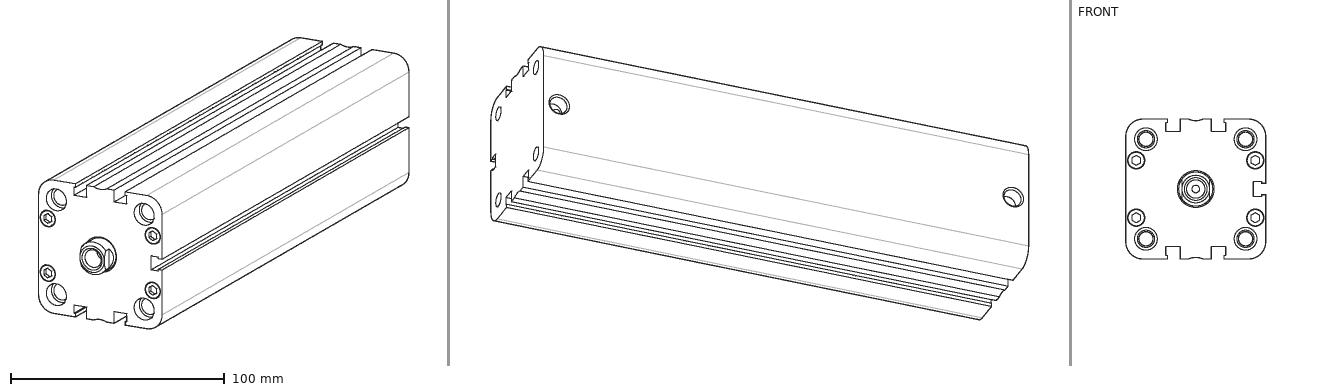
import cadquery as cq
import math

TOTAL_LENGTH = 253.0
ROD_PROJECTION = 8.0
BODY_SIDE = 65.5
CORNER_RADIUS = 8.0
BODY_LENGTH = TOTAL_LENGTH - ROD_PROJECTION
ROD_END_Y = -TOTAL_LENGTH / 2
FRONT_Y = ROD_END_Y + ROD_PROJECTION
BACK_Y = FRONT_Y + BODY_LENGTH
HALF_SIDE = BODY_SIDE / 2

SLOT_INNER_X = 7.3
SLOT_MOUTH_WIDTH = 5.8
SLOT_FLOOR_WIDTH = 6.5
SLOT_DEPTH = 5.8
SLOT_LIP = 1.8

SIDE_SLOT_MOUTH_WIDTH = 5.3
SIDE_SLOT_FLOOR_WIDTH = 6.8
SIDE_SLOT_DEPTH = 5.8
SIDE_SLOT_LIP = 2.0

GROOVE_RADIUS = 8.0
GROOVE_DEPTH = 0.8

MOUNT_OFFSET = 23.3
MOUNT_RECESS_DIAMETER = 10.5
MOUNT_RECESS_DEPTH = 5.0
MOUNT_BORE_DIAMETER = 8.0
MOUNT_BORE_DEPTH = 15.2
MOUNT_THROUGH_DIAMETER = 6.5

SCREW_X = 27.8
SCREW_Z = 13.5
SCREW_RECESS_DIAMETER = 8.0
SCREW_HEAD_DIAMETER = 7.5
SCREW_RING_DEPTH = 2.5
SCREW_SOCKET_FLATS = 4.0
SCREW_SOCKET_DEPTH = 2.0

PORT_END_DISTANCE = 7.8
PORT_DIAMETER = 8.5
PORT_CHAMFER_DIAMETER = 10.4
PORT_DEPTH = 7.5
PASSAGE_DIAMETER = 3.5
PASSAGE_OFFSET = 1.8
PASSAGE_DEPTH = 2.5

ROD_DIAMETER = 16.0
ROD_INSERTION = 14.5
ROD_CHAMFER = 1.5
ROD_MOUTH_DIAMETER = 17.2
ROD_MOUTH_CHAMFER = (ROD_MOUTH_DIAMETER - ROD_DIAMETER) / 2
ROD_FLATS = 13.0
FLAT_START = 3.3
THREAD_DIAMETER = 8.5
THREAD_CHAMFER_DIAMETER = 10.5
THREAD_DEPTH = 12.6
THREAD_TIP_DIAMETER = 3.5
THREAD_TIP_DEPTH = 1.5


ALONG_X = cq.Vector(1, 0, 0)
ALONG_Y = cq.Vector(0, 1, 0)


def cylinder_along_x(diameter, start_x, y, length):
    start = cq.Vector(start_x, y, 0)
    return cq.Workplane(cq.Solid.makeCylinder(diameter / 2, length, start, ALONG_X))


def cylinder_along_y(diameter, start_y, length, x=0, z=0):
    start = cq.Vector(x, start_y, z)
    return cq.Workplane(cq.Solid.makeCylinder(diameter / 2, length, start, ALONG_Y))


def cone_along_x(start_diameter, end_diameter, start_x, y, length):
    start = cq.Vector(start_x, y, 0)
    return cq.Workplane(cq.Solid.makeCone(start_diameter / 2, end_diameter / 2, length, start, ALONG_X))


def cone_along_y(start_diameter, end_diameter, start_y, length):
    start = cq.Vector(0, start_y, 0)
    return cq.Workplane(cq.Solid.makeCone(start_diameter / 2, end_diameter / 2, length, start, ALONG_Y))


def extrude_along_body(points):
    """Extrude an (x, z) outline over the whole length of the body."""
    return cq.Workplane("XZ", origin=(0, BACK_Y, 0)).polyline(points).close().extrude(BODY_LENGTH)


def body_blank():
    return (
        cq.Workplane("XY")
        .box(BODY_SIDE, BODY_LENGTH, BODY_SIDE)
        .translate((0, (FRONT_Y + BACK_Y) / 2, 0))
        .edges("|Y")
        .fillet(CORNER_RADIUS)
    )


def undercut_slot():
    """Slot at the top, on the +X side of the middle."""
    mouth_x = SLOT_INNER_X + SLOT_MOUTH_WIDTH
    floor_x = SLOT_INNER_X + SLOT_FLOOR_WIDTH
    lip_z = HALF_SIDE - SLOT_LIP
    floor_z = HALF_SIDE - SLOT_DEPTH
    return extrude_along_body([
        (SLOT_INNER_X, HALF_SIDE),
        (mouth_x, HALF_SIDE),
        (mouth_x, lip_z),
        (floor_x, lip_z),
        (floor_x, floor_z),
        (SLOT_INNER_X, floor_z),
    ])


def cut_slots(body):
    right_slot = undercut_slot()
    left_slot = right_slot.mirror("YZ")
    for slot in (right_slot, left_slot):
        body = body.cut(slot).cut(slot.mirror("XY"))
    return body


def cut_side_slot(body):
    half_mouth = SIDE_SLOT_MOUTH_WIDTH / 2
    half_floor = SIDE_SLOT_FLOOR_WIDTH / 2
    lip_x = HALF_SIDE - SIDE_SLOT_LIP
    floor_x = HALF_SIDE - SIDE_SLOT_DEPTH
    slot = extrude_along_body([
        (HALF_SIDE, -half_mouth),
        (lip_x, -half_mouth),
        (lip_x, -half_floor),
        (floor_x, -half_floor),
        (floor_x, half_floor),
        (lip_x, half_floor),
        (lip_x, half_mouth),
        (HALF_SIDE, half_mouth),
    ])
    return body.cut(slot)


def cut_grooves(body):
    axis_z = HALF_SIDE - GROOVE_DEPTH + GROOVE_RADIUS
    for side in (-1, 1):
        body = body.cut(cylinder_along_y(2 * GROOVE_RADIUS, FRONT_Y, BODY_LENGTH, z=side * axis_z))
    return body


def cut_mounting_holes(body):
    for x in (-MOUNT_OFFSET, MOUNT_OFFSET):
        for z in (-MOUNT_OFFSET, MOUNT_OFFSET):
            recess = cylinder_along_y(MOUNT_RECESS_DIAMETER, FRONT_Y, MOUNT_RECESS_DEPTH, x, z)
            bore = cylinder_along_y(MOUNT_BORE_DIAMETER, FRONT_Y, MOUNT_BORE_DEPTH, x, z)
            through = cylinder_along_y(MOUNT_THROUGH_DIAMETER, FRONT_Y, BODY_LENGTH, x, z)
            body = body.cut(recess).cut(bore).cut(through)
    return body


def screw_relief(x, z):
    """Clearance ring and hexagon socket that outline one screw head."""
    ring = cylinder_along_y(SCREW_RECESS_DIAMETER, FRONT_Y, SCREW_RING_DEPTH, x, z)
    ring = ring.cut(cylinder_along_y(SCREW_HEAD_DIAMETER, FRONT_Y, SCREW_RING_DEPTH, x, z))
    socket = (
        cq.Workplane("XZ", origin=(x, FRONT_Y, z))
        .transformed(rotate=(0, 0, 90))
        .polygon(6, SCREW_SOCKET_FLATS / math.cos(math.pi / 6))
        .extrude(-SCREW_SOCKET_DEPTH)
    )
    return ring, socket


def cut_screw_reliefs(body):
    for x in (-SCREW_X, SCREW_X):
        for z in (-SCREW_Z, SCREW_Z):
            ring, socket = screw_relief(x, z)
            body = body.cut(ring).cut(socket)
    return body


def cut_ports(body):
    chamfer = (PORT_CHAMFER_DIAMETER - PORT_DIAMETER) / 2
    for end_y, inward in ((FRONT_Y, 1), (BACK_Y, -1)):
        port_y = end_y + inward * PORT_END_DISTANCE
        passage_y = port_y + inward * PASSAGE_OFFSET
        mouth = cone_along_x(PORT_CHAMFER_DIAMETER, PORT_DIAMETER, -HALF_SIDE, port_y, chamfer)
        port = cylinder_along_x(PORT_DIAMETER, -HALF_SIDE, port_y, PORT_DEPTH)
        passage = cylinder_along_x(PASSAGE_DIAMETER, PORT_DEPTH - HALF_SIDE, passage_y, PASSAGE_DEPTH)
        body = body.cut(mouth).cut(port).cut(passage)
    return body


def cut_rod_hole(body):
    hole = cylinder_along_y(ROD_DIAMETER, FRONT_Y, ROD_INSERTION)
    mouth = cone_along_y(ROD_MOUTH_DIAMETER, ROD_DIAMETER, FRONT_Y, ROD_MOUTH_CHAMFER)
    return body.cut(hole).cut(mouth)


def make_housing():
    body = body_blank()
    body = cut_slots(body)
    body = cut_side_slot(body)
    body = cut_grooves(body)
    body = cut_mounting_holes(body)
    body = cut_screw_reliefs(body)
    body = cut_ports(body)
    return cut_rod_hole(body)


def cut_rod_flats(rod):
    """Cut two wrench flats in the +X and -X sides, each running out in a 45 degree slope."""
    flat_x = ROD_FLATS / 2
    rod_x = ROD_DIAMETER / 2
    flat_end_y = FRONT_Y - FLAT_START
    outline = [
        (flat_x, ROD_END_Y),
        (rod_x, ROD_END_Y),
        (rod_x, flat_end_y + rod_x - flat_x),
        (flat_x, flat_end_y),
    ]
    flat = cq.Workplane("XY").polyline(outline).close().extrude(rod_x, both=True)
    return rod.cut(flat).cut(flat.mirror("YZ"))


def cut_rod_thread(rod):
    """Chamfered blind hole in the rod end with a blunt conical tip."""
    chamfer = (THREAD_CHAMFER_DIAMETER - THREAD_DIAMETER) / 2
    mouth = cone_along_y(THREAD_CHAMFER_DIAMETER, THREAD_DIAMETER, ROD_END_Y, chamfer)
    bore = cylinder_along_y(THREAD_DIAMETER, ROD_END_Y, THREAD_DEPTH)
    tip = cone_along_y(THREAD_DIAMETER, THREAD_TIP_DIAMETER, ROD_END_Y + THREAD_DEPTH, THREAD_TIP_DEPTH)
    return rod.cut(mouth).cut(bore).cut(tip)


def make_rod():
    rod = cylinder_along_y(ROD_DIAMETER, ROD_END_Y, ROD_PROJECTION + ROD_INSERTION)
    rod = rod.faces("<Y").chamfer(ROD_CHAMFER)
    rod = cut_rod_flats(rod)
    return cut_rod_thread(rod)


housing = make_housing()
rod = make_rod()

result = cq.Compound.makeCompound([housing.val(), rod.val()])